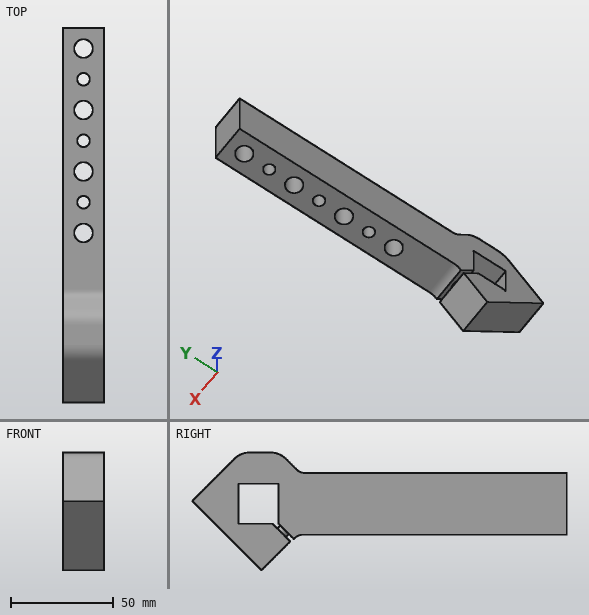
import cadquery as cq
import math

length = 182.5
width = 20.0
height = 57.5

bar_bottom = 17.3
bar_thickness = 30.1
bar_top = bar_bottom + bar_thickness

nose_height = 33.8
keel_offset = nose_height
lip_offset = 34.3
crown_back = 42.5
crown_radius = 10.8
neck_radius = 6.0

socket_size = 19.3
socket_front = 22.6
socket_bottom = 22.8
socket_back = socket_front + socket_size

slit_width = 2.0
slit_rise = slit_width * math.sqrt(2)
slit_upper_sum = socket_back + socket_bottom

pin_diameter = 6.0
pin_edge_distance = 6.0

large_hole_diameter = 9.0
small_hole_diameter = 6.0
large_hole_count = 4
hole_pitch = 30.0
end_margin = 10.0


def make_body():
    """Extrude the bar and head profile across the width and round its corners."""
    neck_top_y = crown_back + height - bar_top
    neck_bottom_y = lip_offset + bar_bottom
    lip_y = (lip_offset + slit_upper_sum) / 2
    lip_z = lip_y - lip_offset
    jaw_y = (keel_offset + slit_upper_sum - slit_rise) / 2
    jaw_z = jaw_y - keel_offset
    crown_front = height - nose_height
    body = (
        cq.Workplane("YZ")
        .moveTo(0, nose_height)
        .lineTo(crown_front, height)
        .lineTo(crown_back, height)
        .lineTo(neck_top_y, bar_top)
        .lineTo(length, bar_top)
        .lineTo(length, bar_bottom)
        .lineTo(neck_bottom_y, bar_bottom)
        .lineTo(lip_y, lip_z)
        .lineTo(jaw_y, jaw_z)
        .lineTo(keel_offset, 0)
        .close()
        .extrude(width / 2, both=True)
    )
    rounded_corners = (
        (crown_front, height, crown_radius),
        (crown_back, height, crown_radius),
        (neck_top_y, bar_top, neck_radius),
        (neck_bottom_y, bar_bottom, neck_radius),
    )
    for y, z, radius in rounded_corners:
        corner = cq.selectors.NearestToPointSelector((0, y, z))
        body = body.edges("|X").edges(corner).fillet(radius)
    return body


def make_socket():
    """Square opening through the full width."""
    return (
        cq.Workplane("YZ")
        .moveTo(socket_front, socket_bottom)
        .rect(socket_size, socket_size, centered=False)
        .extrude(width, both=True)
    )


def make_slit():
    """Sloping gap from the socket out through the rear flank of the head."""
    outer_y = slit_upper_sum
    return (
        cq.Workplane("YZ")
        .moveTo(socket_back, socket_bottom)
        .lineTo(outer_y, 0)
        .lineTo(outer_y - slit_rise, 0)
        .lineTo(socket_back - slit_rise, socket_bottom)
        .close()
        .extrude(width, both=True)
    )


def make_pin():
    """Cylinder joining the two slit faces, square to them."""
    difference = keel_offset - pin_edge_distance * math.sqrt(2)
    start_sum = slit_upper_sum - slit_rise
    start = cq.Vector(0, (start_sum + difference) / 2, (start_sum - difference) / 2)
    return cq.Workplane(
        cq.Solid.makeCylinder(pin_diameter / 2, slit_width, start, cq.Vector(0, 1, 1))
    )


def make_handle_holes():
    """Vertical through holes: large ones, with a small one halfway between each pair."""
    first_y = length - end_margin
    large = [(0, first_y - i * hole_pitch) for i in range(large_hole_count)]
    small = [(0, y - hole_pitch / 2) for _, y in large[:-1]]
    base = cq.Workplane("XY")
    large_holes = base.pushPoints(large).circle(large_hole_diameter / 2).extrude(height)
    small_holes = base.pushPoints(small).circle(small_hole_diameter / 2).extrude(height)
    return large_holes.union(small_holes)


result = (
    make_body()
    .cut(make_socket())
    .cut(make_slit())
    .cut(make_handle_holes())
    .union(make_pin())
)